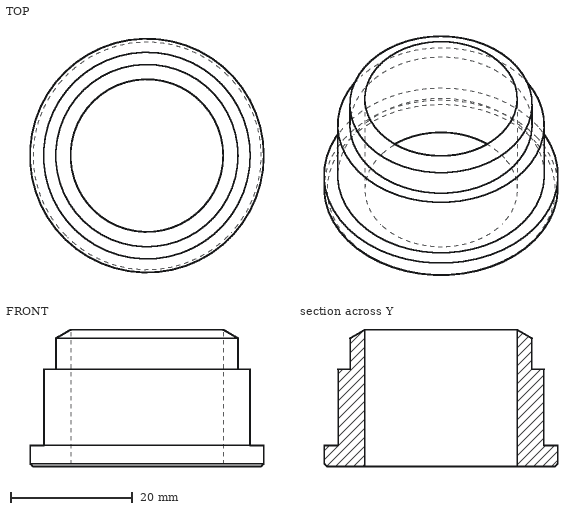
import cadquery as cq
import math

flange_diameter = 38.4
body_diameter = 33.9
neck_diameter = 29.9
bore_diameter = 25.0

total_height = 22.5
flange_thickness = 3.5
body_length = 12.5

flange_chamfer = 0.5
nose_angle = 30.0

flange_radius = flange_diameter / 2
body_radius = body_diameter / 2
neck_radius = neck_diameter / 2
bore_radius = bore_diameter / 2

body_top = flange_thickness + body_length
nose_height = (neck_radius - bore_radius) * math.tan(math.radians(nose_angle))
nose_base = total_height - nose_height


def make_bushing():
    """Revolve the stepped wall section, given as (radius, height), about Z."""
    wall_section = [
        (bore_radius, 0),
        (flange_radius - flange_chamfer, 0),
        (flange_radius, flange_chamfer),
        (flange_radius, flange_thickness),
        (body_radius, flange_thickness),
        (body_radius, body_top),
        (neck_radius, body_top),
        (neck_radius, nose_base),
        (bore_radius, total_height),
    ]
    axis_start = (0, 0)
    axis_end = (0, 1)
    return cq.Workplane("XZ").polyline(wall_section).close().revolve(360, axis_start, axis_end)


result = make_bushing()